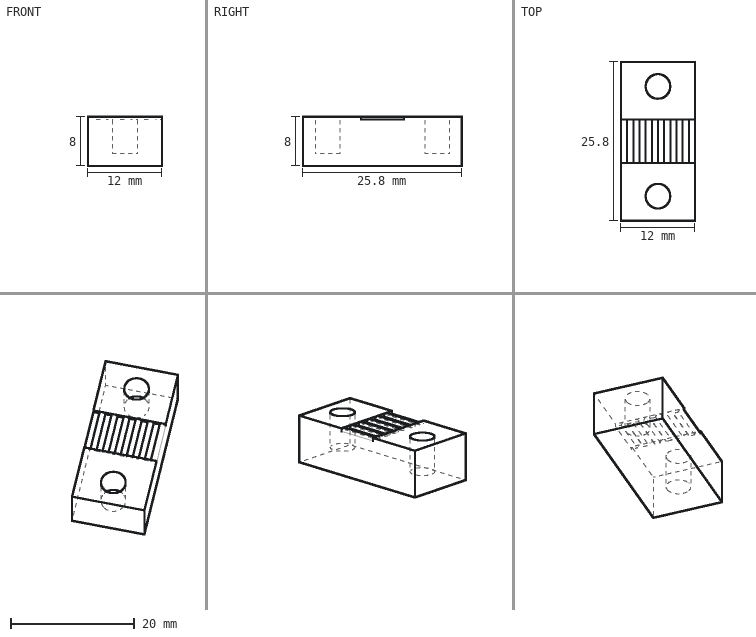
import cadquery as cq

length = 25.75
width = 12.0
height = 8.0

hole_diameter = 4.0
hole_depth = 6.0
hole_end_distance = 4.0
hole_spacing = length - 2 * hole_end_distance

recess_length = 7.0
ridge_count = 6
ridge_pitch = width / ridge_count
ridge_radius = ridge_pitch / 4
recess_depth = ridge_radius
recess_floor = height - recess_depth


def make_block():
    block = cq.Workplane("XY").box(width, length, height, centered=(True, True, False))
    recess = (
        cq.Workplane("XY")
        .workplane(offset=recess_floor)
        .rect(width, recess_length)
        .extrude(recess_depth)
    )
    return block.cut(recess)


def make_holes():
    return (
        cq.Workplane("XY")
        .workplane(offset=height)
        .pushPoints([(0, -hole_spacing / 2), (0, hole_spacing / 2)])
        .circle(hole_diameter / 2)
        .extrude(-hole_depth)
    )


def make_ridge(left_edge):
    """Half-round ridge running along Y on the recess floor."""
    return (
        cq.Workplane("XZ", origin=(0, recess_length / 2, 0))
        .moveTo(left_edge, recess_floor)
        .threePointArc(
            (left_edge + ridge_radius, recess_floor + ridge_radius),
            (left_edge + 2 * ridge_radius, recess_floor),
        )
        .close()
        .extrude(recess_length)
    )


result = make_block().cut(make_holes())
for index in range(ridge_count):
    result = result.union(make_ridge(-width / 2 + index * ridge_pitch))